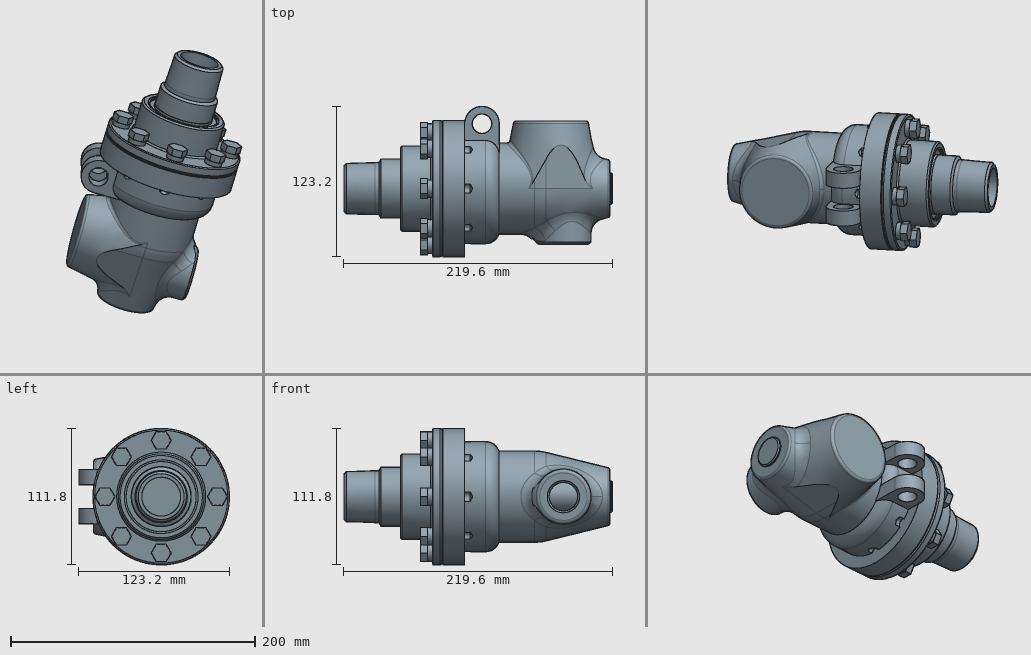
import cadquery as cq
import math


LENGTH = 219.6
NOSE_TAPER_END_X = 25.3
SHAFT_START_X = 28.6
COLLAR_X = 46.2
PLATE_X = 72.3
PLATE_REAR_BEVEL_X = 78.7
JOINT_X = 80.2
FLANGE_X = 80.9
FLANGE_END_X = 98.7
SHOULDER_ROUND_X = 115.8
BARREL_END_X = 156.0
CONE_START_X = 165.3
HOUSING_END_X = 217.5

ROTOR_BORE_R = 31.8 / 2
ROTOR_BORE_DEPTH = FLANGE_END_X
NOSE_TIP_R = 37.49 / 2
NOSE_CHAMFER = 2.0
NOSE_R = 42.79 / 2
NOSE_TAPER = 1 / 32
SHAFT_R = 48.5 / 2
SHAFT_CHAMFER = 1.6
SHAFT_SHOULDER_R = 49.18 / 2
COLLAR_R = 70.1 / 2
COLLAR_CHAMFER = 1.4
COLLAR_RECESS_R = 60.4 / 2
COLLAR_RECESS_DEPTH = 0.8
SEAL_RECESS_R = 57.38 / 2
SEAL_RECESS_DEPTH = 2.2

FLANGE_R = 111.76 / 2
PLATE_CHAMFER_LENGTH = 0.7
PLATE_CHAMFER_DROP = 1.4
PLATE_REAR_BEVEL_DROP = 0.7
JOINT_DEPTH = 1.4

SHOULDER_R = 45.2
SHOULDER_ROUND_R = 11.6
BARREL_R = 37.4
CONE_END_R = 23.4
HOUSING_END_ROUND = 2.0
CONE_ANGLE_STEPS = 20
TUBE_R = 12.9
TUBE_CHAMFER = 1.1

BOLT_COUNT = 8
BOLT_CIRCLE_R = 92.08 / 2
BOLT_FLATS = 14.28
HEX_SIDES = 6
BOLT_HEAD_H = 6.0
WASHER_D = 14.28
WASHER_H = 3.9
TAPPED_D = 7.8
TAPPED_DEPTH = 4.5
DRILL_POINT_ANGLE = 118

LUG_TIP_Y = 123.19 - FLANGE_R
LUG_R = 14.2
LUG_THICKNESS = 12.7
LUG_GAP = 19.1
LUG_HOLE_D = 15.75

MAIN_BOSS_X = 169.3
MAIN_BOSS_BASE_R = 41.2
MAIN_BOSS_DRAFT = 11.0
MAIN_BOSS_FACE_Y = 55.5
MAIN_BOSS_OVERRUN = 8.0
MAIN_BOSS_RIM_ROUND = 2.6
MAIN_BOSS_BLEND_NOSE_SIDE = 3.0
MAIN_BOSS_BLEND_END_SIDE = 12.0

SIDE_BOSS_X = 179.5
SIDE_BOSS_R = 22.6
SIDE_BOSS_FACE_Y = -45.6
SIDE_BOSS_RIM_ROUND = 3.2
SIDE_BOSS_BLEND = 12.3
SIDE_BOSS_BEVEL = 4.2
SIDE_BOSS_BEVEL_SETBACK = 0.2
SIDE_PORT_D = 23.31
SIDE_PORT_MOUTH_D = 26.4


def x_cylinder(start_x, length, radius):
    return cq.Workplane("YZ").workplane(offset=start_x).circle(radius).extrude(length)


def revolve_about_x(profile):
    return profile.close().revolve(360, (0, 0, 0), (1, 0, 0))


def make_rotor():
    nose_front_r = NOSE_R - (NOSE_TAPER_END_X - NOSE_CHAMFER) * NOSE_TAPER
    profile = (
        cq.Workplane("XY")
        .moveTo(0, 0)
        .lineTo(0, NOSE_TIP_R)
        .lineTo(NOSE_CHAMFER, nose_front_r)
        .lineTo(NOSE_TAPER_END_X, NOSE_R)
        .lineTo(SHAFT_START_X, NOSE_R)
        .lineTo(SHAFT_START_X + SHAFT_CHAMFER, SHAFT_R)
        .lineTo(COLLAR_X, SHAFT_R)
        .lineTo(COLLAR_X, SHAFT_SHOULDER_R)
        .lineTo(COLLAR_X + SEAL_RECESS_DEPTH, SHAFT_SHOULDER_R)
        .lineTo(COLLAR_X + SEAL_RECESS_DEPTH, SEAL_RECESS_R)
        .lineTo(COLLAR_X + COLLAR_RECESS_DEPTH, SEAL_RECESS_R)
        .lineTo(COLLAR_X + COLLAR_RECESS_DEPTH, COLLAR_RECESS_R)
        .lineTo(COLLAR_X, COLLAR_RECESS_R)
        .lineTo(COLLAR_X, COLLAR_R - COLLAR_CHAMFER)
        .lineTo(COLLAR_X + COLLAR_CHAMFER, COLLAR_R)
        .lineTo(PLATE_X - COLLAR_CHAMFER, COLLAR_R)
        .lineTo(PLATE_X, COLLAR_R + COLLAR_CHAMFER)
        .lineTo(PLATE_X, 0)
    )
    return revolve_about_x(profile)


def make_flange():
    profile = (
        cq.Workplane("XY")
        .moveTo(PLATE_X, 0)
        .lineTo(PLATE_X, FLANGE_R - PLATE_CHAMFER_DROP)
        .lineTo(PLATE_X + PLATE_CHAMFER_LENGTH, FLANGE_R)
        .lineTo(PLATE_REAR_BEVEL_X, FLANGE_R)
        .lineTo(JOINT_X, FLANGE_R - PLATE_REAR_BEVEL_DROP)
        .lineTo(JOINT_X, FLANGE_R - JOINT_DEPTH)
        .lineTo(FLANGE_X, FLANGE_R - JOINT_DEPTH)
        .lineTo(FLANGE_X, FLANGE_R)
        .lineTo(FLANGE_END_X, FLANGE_R)
        .lineTo(FLANGE_END_X, 0)
    )
    return revolve_about_x(profile)


def make_shoulder():
    length = SHOULDER_ROUND_X + SHOULDER_ROUND_R - FLANGE_END_X
    return x_cylinder(FLANGE_END_X, length, SHOULDER_R).faces(">X").edges().fillet(SHOULDER_ROUND_R)


def cone_angle():
    """Half angle of the cone, found by fixed-point iteration on the tangent length."""
    angle = 0.0
    for _ in range(CONE_ANGLE_STEPS):
        tangent_length = (CONE_START_X - BARREL_END_X) / (1 + math.cos(angle))
        knee_x = BARREL_END_X + tangent_length
        angle = math.atan2(BARREL_R - CONE_END_R, HOUSING_END_X - knee_x)
    return angle


CONE_ANGLE = cone_angle()
ARC_R = (CONE_START_X - BARREL_END_X) / math.sin(CONE_ANGLE)


def point_on_arc(angle):
    return (BARREL_END_X + ARC_R * math.sin(angle), BARREL_R - ARC_R * (1 - math.cos(angle)))


def housing_outline(plane):
    """Half outline of barrel and cone, from the axis out and back to the axis."""
    return (
        cq.Workplane(plane)
        .moveTo(FLANGE_END_X, 0)
        .lineTo(FLANGE_END_X, BARREL_R)
        .lineTo(BARREL_END_X, BARREL_R)
        .threePointArc(point_on_arc(CONE_ANGLE / 2), point_on_arc(CONE_ANGLE))
        .lineTo(HOUSING_END_X, CONE_END_R)
        .lineTo(HOUSING_END_X, 0)
    )


class BlendEdges(cq.Selector):
    """Picks the freeform junction curves whose centre passes a test."""

    def __init__(self, is_wanted):
        self.is_wanted = is_wanted

    def filter(self, edges):
        return [e for e in edges if e.geomType() == "BSPLINE" and self.is_wanted(e.Center())]


def make_main_boss(barrel):
    """The +Y half of the barrel with its drafted boss, trimmed to the housing outline.

    The boss starts below Y = 0 so that its blends run past the half plane where they are cut.
    """
    slope = math.tan(math.radians(MAIN_BOSS_DRAFT))
    boss = (
        cq.Workplane("XY")
        .moveTo(0, -MAIN_BOSS_OVERRUN)
        .lineTo(MAIN_BOSS_BASE_R + MAIN_BOSS_OVERRUN * slope, -MAIN_BOSS_OVERRUN)
        .lineTo(MAIN_BOSS_BASE_R - MAIN_BOSS_FACE_Y * slope, MAIN_BOSS_FACE_Y)
        .lineTo(0, MAIN_BOSS_FACE_Y)
        .close()
        .revolve(360, (0, 0, 0), (0, 1, 0))
        .faces(">Y")
        .edges()
        .fillet(MAIN_BOSS_RIM_ROUND)
        .rotate((0, 0, 0), (0, 1, 0), 90)
        .translate((MAIN_BOSS_X, 0, 0))
    )
    blended = (
        barrel.union(boss)
        .edges(BlendEdges(lambda centre: centre.x > CONE_START_X))
        .fillet(MAIN_BOSS_BLEND_END_SIDE)
        .edges(BlendEdges(lambda centre: centre.x < BARREL_END_X and centre.y > 0))
        .fillet(MAIN_BOSS_BLEND_NOSE_SIDE)
    )
    upper = housing_outline("XZ").close().extrude(-MAIN_BOSS_FACE_Y)
    return blended.intersect(upper.union(upper.mirror("XY")))


def add_side_boss(barrel):
    """Blend a straight boss into the barrel, then bevel it back to meet a rounded rim."""
    overlong_y = 2 * SIDE_BOSS_FACE_Y
    overlong_boss = cq.Workplane("XZ").center(SIDE_BOSS_X, 0).circle(SIDE_BOSS_R).extrude(-overlong_y)
    blended = (
        barrel.union(overlong_boss)
        .edges(BlendEdges(lambda centre: centre.y < 0))
        .fillet(SIDE_BOSS_BLEND)
    )
    round_offset = SIDE_BOSS_RIM_ROUND * (1 - math.sqrt(0.5))
    bevel_r = SIDE_BOSS_R - round_offset
    bevel_y = SIDE_BOSS_FACE_Y + round_offset + SIDE_BOSS_BEVEL_SETBACK
    trim = (
        cq.Workplane("XY")
        .moveTo(0, bevel_y)
        .lineTo(bevel_r, bevel_y)
        .lineTo(bevel_r + SIDE_BOSS_BEVEL, bevel_y + SIDE_BOSS_BEVEL)
        .lineTo(bevel_r + SIDE_BOSS_BEVEL, overlong_y)
        .lineTo(0, overlong_y)
        .close()
        .revolve(360, (0, 0, 0), (0, 1, 0))
        .translate((SIDE_BOSS_X, 0, 0))
    )
    rim = (
        cq.Workplane("XZ", origin=(SIDE_BOSS_X, 0, 0))
        .circle(SIDE_BOSS_R)
        .extrude(-SIDE_BOSS_FACE_Y)
        .faces("<Y")
        .edges()
        .fillet(SIDE_BOSS_RIM_ROUND)
    )
    return blended.cut(trim).union(rim)


def make_housing():
    barrel = revolve_about_x(housing_outline("XY"))
    return (
        add_side_boss(barrel)
        .union(make_main_boss(barrel))
        .faces(">X")
        .edges()
        .fillet(HOUSING_END_ROUND)
        .union(make_shoulder())
    )


def make_tube():
    """Tube on the axis, from the flange to the far end of the part."""
    return x_cylinder(FLANGE_END_X, LENGTH - FLANGE_END_X, TUBE_R).faces(">X").edges().chamfer(TUBE_CHAMFER)


def make_side_port():
    """Countersunk bore that reaches the tube on the axis."""
    mouth_chamfer = (SIDE_PORT_MOUTH_D - SIDE_PORT_D) / 2
    bore = (
        cq.Workplane("XZ", origin=(SIDE_BOSS_X, 0, 0))
        .circle(SIDE_PORT_D / 2)
        .extrude(-SIDE_BOSS_FACE_Y)
    )
    mouth = (
        cq.Workplane("XZ", origin=(SIDE_BOSS_X, SIDE_BOSS_FACE_Y, 0))
        .circle(SIDE_PORT_MOUTH_D / 2)
        .workplane(offset=-mouth_chamfer)
        .circle(SIDE_PORT_D / 2)
        .loft()
    )
    return bore.union(mouth).cut(make_tube())


def bolt_positions():
    for i in range(BOLT_COUNT):
        angle = 2 * math.pi * i / BOLT_COUNT
        yield BOLT_CIRCLE_R * math.cos(angle), BOLT_CIRCLE_R * math.sin(angle)


def make_bolt():
    """Hex head and washer resting on the cover plate, hex corners pointing along Y."""
    head_x = PLATE_X - WASHER_H - BOLT_HEAD_H
    across_corners = BOLT_FLATS / math.cos(math.pi / HEX_SIDES)
    head_plane = cq.Workplane("YZ").workplane(offset=head_x)
    head = head_plane.polygon(HEX_SIDES, across_corners).extrude(BOLT_HEAD_H)
    return head.union(x_cylinder(PLATE_X - WASHER_H, WASHER_H, WASHER_D / 2))


def make_tapped_hole():
    """Hole end with a drill point, starting at the rear face of the flange."""
    radius = TAPPED_D / 2
    point_length = radius / math.tan(math.radians(DRILL_POINT_ANGLE / 2))
    profile = (
        cq.Workplane("XY")
        .moveTo(FLANGE_END_X, 0)
        .lineTo(FLANGE_END_X, radius)
        .lineTo(FLANGE_END_X + TAPPED_DEPTH, radius)
        .lineTo(FLANGE_END_X + TAPPED_DEPTH + point_length, 0)
    )
    return revolve_about_x(profile)


def make_lug(bottom_z):
    centre_x = FLANGE_END_X + LUG_R
    centre_y = LUG_TIP_Y - LUG_R
    plate = (
        cq.Workplane("XY")
        .workplane(offset=bottom_z)
        .moveTo(FLANGE_END_X, 0)
        .lineTo(FLANGE_END_X, centre_y)
        .threePointArc((centre_x, LUG_TIP_Y), (centre_x + LUG_R, centre_y))
        .lineTo(centre_x + LUG_R, 0)
        .close()
        .extrude(LUG_THICKNESS)
    )
    hole = (
        cq.Workplane("XY")
        .workplane(offset=bottom_z)
        .center(centre_x, centre_y)
        .circle(LUG_HOLE_D / 2)
        .extrude(LUG_THICKNESS)
    )
    return plate.cut(hole)


result = make_housing().union(make_flange()).union(make_rotor())
for lug_bottom_z in (LUG_GAP / 2, -LUG_GAP / 2 - LUG_THICKNESS):
    result = result.union(make_lug(lug_bottom_z))
result = result.union(make_tube())
for bolt_y, bolt_z in bolt_positions():
    result = result.union(make_bolt().translate((0, bolt_y, bolt_z)))
    result = result.cut(make_tapped_hole().translate((0, bolt_y, bolt_z)))
result = result.cut(make_side_port())
result = result.cut(x_cylinder(0, ROTOR_BORE_DEPTH, ROTOR_BORE_R))